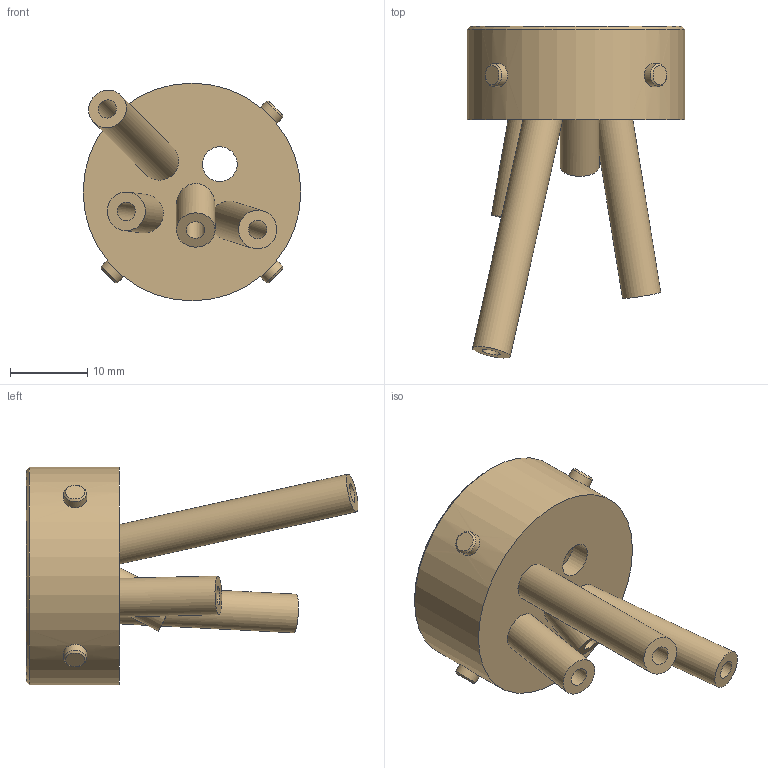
import cadquery as cq
import math

BODY_DIAMETER = 28.2
BODY_LENGTH = 12.1
WALL = 2.0
FRONT_THICKNESS = 2.6
BACK_CHAMFER = 0.4

PLATE_HOLE_DIAMETER = 4.5
PLATE_HOLE_OFFSET = 3.6

PEG_COUNT = 4
PEG_DIAMETER = 3.0
PEG_CHAMFER = 0.25
PEG_INNER_RADIUS = BODY_DIAMETER / 2 - WALL / 2
PEG_OUTER_RADIUS = 15.35
PEG_FROM_FRONT = 5.75
PEG_FIRST_ANGLE = 45.0

TUBE_DIAMETER = 5.0
BORE_DIAMETER = 2.4

TUBES = [
    ((-4.3, 4.1), (-10.95, 10.75), 30.13),
    ((-6.25, -2.8), (-8.5, -2.5), 12.8),
    ((0.48, -1.72), (0.48, -4.92), 6.18),
    ((4.82, -3.7), (8.5, -4.86), 22.75),
]


def y_cylinder(diameter, front, back, x=0.0, z=0.0):
    """Cylinder along Y between two Y positions."""
    return cq.Workplane("XZ", origin=(x, front, z)).circle(diameter / 2).extrude(front - back)


def make_body():
    """Solid disc with a chamfered back rim."""
    return y_cylinder(BODY_DIAMETER, 0, BODY_LENGTH).faces(">Y").chamfer(BACK_CHAMFER)


def make_cavity():
    """Space inside the cup, open at the back."""
    return y_cylinder(BODY_DIAMETER - 2 * WALL, FRONT_THICKNESS, BODY_LENGTH)


def make_peg(angle):
    """Radial peg with a chamfered tip, at an angle about the body axis."""
    direction = cq.Vector(math.cos(math.radians(angle)), 0, math.sin(math.radians(angle)))
    origin = direction * PEG_INNER_RADIUS + cq.Vector(0, PEG_FROM_FRONT, 0)
    plane = cq.Plane(origin=origin, xDir=(0, 1, 0), normal=direction)
    peg = cq.Workplane(plane).circle(PEG_DIAMETER / 2).extrude(PEG_OUTER_RADIUS - PEG_INNER_RADIUS)
    return peg.faces(cq.selectors.DirectionMinMaxSelector(direction, True)).chamfer(PEG_CHAMFER)


def slanted_cylinder(tube, diameter, depth):
    """Cylinder along a tube axis, from its free end to a depth behind the front face."""
    (base_x, base_z), (tip_x, tip_z), reach = tube
    tip = cq.Vector(tip_x, -reach, tip_z)
    inward = cq.Vector(base_x, 0, base_z) - tip
    length = inward.Length * (reach + depth) / reach
    return cq.Workplane(cq.Plane(origin=tip, normal=inward)).circle(diameter / 2).extrude(length)


result = make_body()
for tube in TUBES:
    result = result.union(slanted_cylinder(tube, TUBE_DIAMETER, FRONT_THICKNESS))
result = result.cut(make_cavity())
for tube in TUBES:
    result = result.cut(slanted_cylinder(tube, BORE_DIAMETER, 2 * FRONT_THICKNESS))
result = result.cut(
    y_cylinder(PLATE_HOLE_DIAMETER, 0, FRONT_THICKNESS, PLATE_HOLE_OFFSET, PLATE_HOLE_OFFSET)
)
for index in range(PEG_COUNT):
    result = result.union(make_peg(PEG_FIRST_ANGLE + index * 360 / PEG_COUNT))